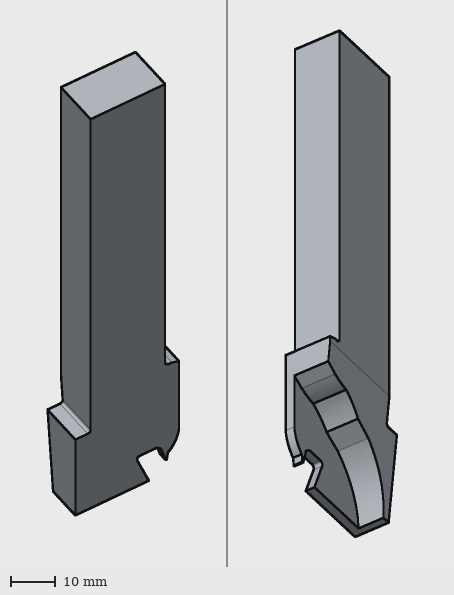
import cadquery as cq

width = 12.0
depth = 27.8
height = 124.0

shank_front = 4.1
shank_depth = 20.0
shank_back = shank_front + shank_depth

front_shoulder_z = 24.2
back_shoulder_edge_z = 33.6
back_shoulder_root_z = 34.2
back_ramp_start = 25.8
front_fillet = 0.7
back_fillet = 1.0

taper_top_z = 32.2
taper_inset = 3.0

blade_thickness = 2.4

nose_start = (depth, 11.9)
nose_middle = (26.8, 8.7)
nose_end = (24.8, 6.1)
tip_z = 4.1
tip_back = 24.5
tip_front = 24.2

notch_top_z = 9.3
notch_back_start = (23.2, 7.7)
notch_back_middle = (22.7, 8.5)
notch_back_end = (21.8, notch_top_z)
notch_front_start = (17.1, notch_top_z)
notch_front_middle = (16.6, 8.9)
notch_front_end = (16.6, 8.2)
notch_mouth = (19.7, 0)

wall_start = (depth, 26.7)
hollow_start = (24.8, 25.0)
hollow_middle = (23.0, 24.3)
crest_start = (20.2, 23.7)
crest_middle = (17.4, 21.7)
crest_end = (14.9, 19.1)
sweep_start = (10.4, 16.6)
sweep_middle = (5.2, 10.5)
sweep_end = (2.1, 0)


def side_solid(outline, x_length):
    """Extrude a closed YZ outline from X = 0 towards +X."""
    return outline.close().extrude(x_length)


def make_body():
    outline = (
        cq.Workplane("YZ")
        .moveTo(0, 0)
        .lineTo(0, front_shoulder_z)
        .lineTo(shank_front, front_shoulder_z)
        .lineTo(shank_front, height)
        .lineTo(shank_back, height)
        .lineTo(shank_back, back_shoulder_root_z)
        .lineTo(back_ramp_start, back_shoulder_root_z)
        .lineTo(depth, back_shoulder_edge_z)
        .lineTo(*nose_start)
        .threePointArc(nose_middle, nose_end)
        .lineTo(tip_back, tip_z)
        .lineTo(tip_front, tip_z)
        .lineTo(*notch_back_start)
        .threePointArc(notch_back_middle, notch_back_end)
        .lineTo(*notch_front_start)
        .threePointArc(notch_front_middle, notch_front_end)
        .lineTo(*notch_mouth)
    )
    return side_solid(outline, width)


def fillet_shoulder(body, y, z, radius):
    """Round the inner corner where a shoulder meets the shank."""
    corner = cq.selectors.NearestToPointSelector((width / 2, y, z))
    return body.edges(corner).fillet(radius)


def make_taper_cut():
    return (
        cq.Workplane("XZ")
        .moveTo(0, taper_top_z)
        .lineTo(taper_inset, 0)
        .lineTo(0, 0)
        .close()
        .extrude(-depth)
    )


def make_blade_relief():
    """Material removed beside the blade, below a wavy wall."""
    outline = (
        cq.Workplane("YZ")
        .moveTo(depth, 0)
        .lineTo(*wall_start)
        .lineTo(*hollow_start)
        .threePointArc(hollow_middle, crest_start)
        .threePointArc(crest_middle, crest_end)
        .lineTo(*sweep_start)
        .threePointArc(sweep_middle, sweep_end)
    )
    return side_solid(outline, width - blade_thickness)


body = make_body()
body = fillet_shoulder(body, shank_front, front_shoulder_z, front_fillet)
body = fillet_shoulder(body, shank_back, back_shoulder_root_z, back_fillet)
result = body.cut(make_taper_cut()).cut(make_blade_relief())